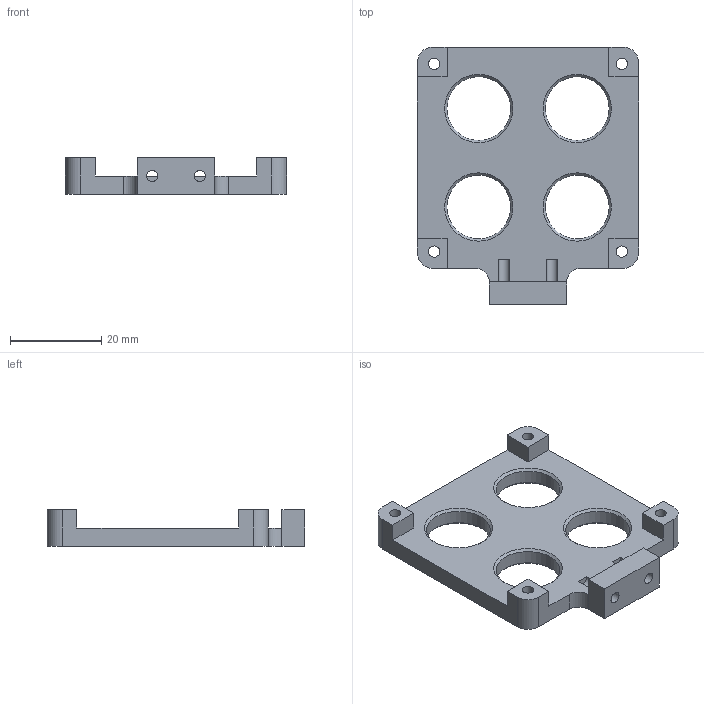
import cadquery as cq

PLATE_SIDE = 48.5
PLATE_THICKNESS = 4.0
CORNER_RADIUS = 3.3

TOTAL_HEIGHT = 8.0
PAD_SIDE = 6.5
SCREW_HOLE_DIAMETER = 2.5
SCREW_HOLE_SPACING = 41.2

OPENING_DIAMETER = 14.0
OPENING_SPACING = 21.6
RIM_CHAMFER = 0.5

TAB_WIDTH = 17.0
NECK_LENGTH = 3.0
NECK_FILLET_RADIUS = NECK_LENGTH
BLOCK_LENGTH = 5.0

MOUNT_HOLE_DIAMETER = 2.5
MOUNT_HOLE_SPACING = 10.5
GROOVE_LENGTH = 5.0

PLATE_EDGE = PLATE_SIDE / 2
NECK_END_Y = -PLATE_EDGE - NECK_LENGTH
TAB_END_Y = NECK_END_Y - BLOCK_LENGTH


def square_pattern(spacing):
    """Centres of a 2 x 2 pattern about the Z axis."""
    half = spacing / 2
    return [(x, y) for x in (-half, half) for y in (-half, half)]


def make_plate():
    """Flat plate with rounded corners."""
    plate = cq.Workplane("XY").rect(PLATE_SIDE, PLATE_SIDE).extrude(PLATE_THICKNESS)
    return plate.edges("|Z").fillet(CORNER_RADIUS)


def make_corner_pads():
    """Four full-height pads, trimmed to the rounded corners of the plate."""
    pads = (
        cq.Workplane("XY")
        .pushPoints(square_pattern(PLATE_SIDE - PAD_SIDE))
        .rect(PAD_SIDE, PAD_SIDE)
        .extrude(TOTAL_HEIGHT)
    )
    envelope = cq.Workplane("XY").rect(PLATE_SIDE, PLATE_SIDE).extrude(TOTAL_HEIGHT)
    return pads.intersect(envelope.edges("|Z").fillet(CORNER_RADIUS))


def make_neck():
    """Plate-thick neck whose two concave quarter-round sides meet the plate edge."""
    flare_x = TAB_WIDTH / 2 + NECK_FILLET_RADIUS
    neck = (
        cq.Workplane("XY")
        .center(0, (NECK_END_Y - PLATE_EDGE) / 2)
        .rect(2 * flare_x, NECK_LENGTH)
        .extrude(PLATE_THICKNESS)
    )
    side_rounds = (
        cq.Workplane("XY")
        .pushPoints([(-flare_x, NECK_END_Y), (flare_x, NECK_END_Y)])
        .circle(NECK_FILLET_RADIUS)
        .extrude(PLATE_THICKNESS)
    )
    return neck.cut(side_rounds)


def make_block():
    """Full-height block at the end of the neck."""
    return (
        cq.Workplane("XY")
        .center(0, (NECK_END_Y + TAB_END_Y) / 2)
        .rect(TAB_WIDTH, BLOCK_LENGTH)
        .extrude(TOTAL_HEIGHT)
    )


def make_opening_cutters():
    """Spool shapes for the large openings: a bore flaring at the upper and lower rims."""
    bore_radius = OPENING_DIAMETER / 2
    rim_radius = bore_radius + RIM_CHAMFER
    spool = (
        cq.Workplane("XZ")
        .polyline(
            [
                (0, 0),
                (rim_radius, 0),
                (bore_radius, RIM_CHAMFER),
                (bore_radius, PLATE_THICKNESS - RIM_CHAMFER),
                (rim_radius, PLATE_THICKNESS),
                (0, PLATE_THICKNESS),
            ]
        )
        .close()
        .revolve(360, (0, 0), (0, 1))
    )
    centres = cq.Workplane("XY").pushPoints(square_pattern(OPENING_SPACING))
    return centres.eachpoint(lambda place: spool.val().moved(place), combine="a")


def make_screw_hole_cutters():
    """Vertical through holes in the corner pads."""
    return (
        cq.Workplane("XY")
        .pushPoints(square_pattern(SCREW_HOLE_SPACING))
        .circle(SCREW_HOLE_DIAMETER / 2)
        .extrude(TOTAL_HEIGHT)
    )


def make_mount_hole_cutters():
    """Flat-ended holes along +Y from the block face, centred on the plate's top face."""
    half = MOUNT_HOLE_SPACING / 2
    return (
        cq.Workplane("XZ", origin=(0, TAB_END_Y, PLATE_THICKNESS))
        .pushPoints([(-half, 0), (half, 0)])
        .circle(MOUNT_HOLE_DIAMETER / 2)
        .extrude(-(BLOCK_LENGTH + GROOVE_LENGTH))
    )


body = make_plate().union(make_corner_pads()).union(make_neck()).union(make_block())
body = body.cut(make_opening_cutters())
body = body.cut(make_screw_hole_cutters())
result = body.cut(make_mount_hole_cutters())